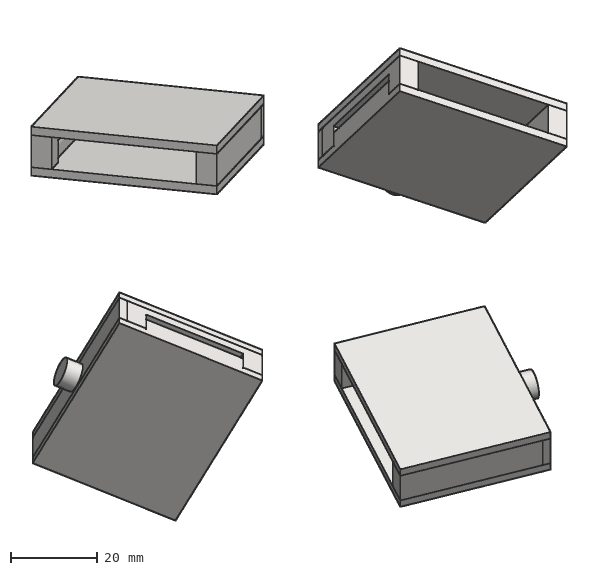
import cadquery as cq

WIDTH = 45.0
DEPTH = 37.0
HEIGHT = 12.0
PLATE_THICKNESS = 2.05
PANEL_THICKNESS = 2.0
WALL_THICKNESS = 5.0

BOSS_DIAMETER = 7.0
BOSS_LENGTH = 4.0

WINDOW_LENGTH = 25.0
WINDOW_TOP = 7.5
TAB_THICKNESS = 4.0
TAB_TOP = 7.0

frame_depth = DEPTH - PANEL_THICKNESS
wall_height = HEIGHT - 2 * PLATE_THICKNESS
window_start = (frame_depth - WINDOW_LENGTH) / 2
tab_radius = TAB_THICKNESS / 2


def box_at(x, y, z, width, depth, height):
    """Box whose lowest corner is at (x, y, z)."""
    return cq.Workplane("XY").box(width, depth, height, centered=False).translate((x, y, z))


def make_top_plate():
    return box_at(0, 0, HEIGHT - PLATE_THICKNESS, WIDTH, DEPTH, PLATE_THICKNESS)


def make_bottom_plate():
    """Flat plate with a tab along its -X edge, rounded over its full thickness."""
    plate = box_at(0, 0, 0, WIDTH, DEPTH, PLATE_THICKNESS)
    tab = (
        cq.Workplane("XZ", origin=(0, window_start, 0))
        .lineTo(TAB_THICKNESS, 0)
        .lineTo(TAB_THICKNESS, TAB_TOP - tab_radius)
        .threePointArc((tab_radius, TAB_TOP), (0, TAB_TOP - tab_radius))
        .close()
        .extrude(-WINDOW_LENGTH)
    )
    return plate.union(tab)


def make_frame():
    """U-shaped frame, open at the front, with a window through its -X wall."""
    outer = box_at(0, 0, PLATE_THICKNESS, WIDTH, frame_depth, wall_height)
    cavity = box_at(
        WALL_THICKNESS, 0, PLATE_THICKNESS,
        WIDTH - 2 * WALL_THICKNESS, frame_depth - WALL_THICKNESS, wall_height,
    )
    window = box_at(
        0, window_start, PLATE_THICKNESS,
        WALL_THICKNESS, WINDOW_LENGTH, WINDOW_TOP - PLATE_THICKNESS,
    )
    return outer.cut(cavity).cut(window)


def make_back_panel():
    """Panel closing the back of the frame, with a round boss at its centre."""
    panel = box_at(0, frame_depth, PLATE_THICKNESS, WIDTH, PANEL_THICKNESS, wall_height)
    boss = (
        cq.Workplane("XZ", origin=(WIDTH / 2, frame_depth, HEIGHT / 2))
        .circle(BOSS_DIAMETER / 2)
        .extrude(-(PANEL_THICKNESS + BOSS_LENGTH))
    )
    return panel.union(boss)


top_plate = make_top_plate()
bottom_plate = make_bottom_plate()
frame = make_frame()
back_panel = make_back_panel()

result = cq.Compound.makeCompound([
    top_plate.val(),
    bottom_plate.val(),
    frame.val(),
    back_panel.val(),
])